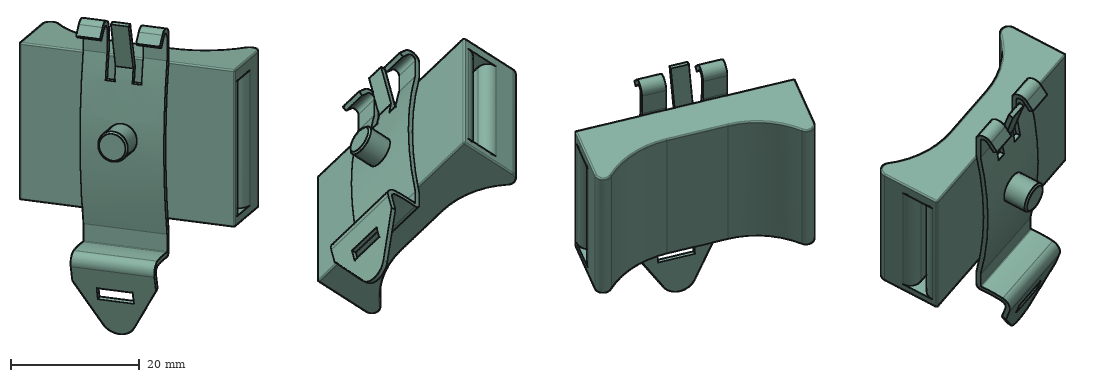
import cadquery as cq
import math


BLOCK_WIDTH = 36.0
BLOCK_DEPTH = 11.25
BLOCK_HEIGHT = 25.9
EDGE_ROUND = 0.25
HORN_RADIUS = 1.4
FLOOR_Y = 6.25
FLOOR_HALF_WIDTH = 5.0
STRAP_NEAR_Y = 2.9
STRAP_GAP = 1.5
STRAP_HEIGHT = 22.25
STRAP_CENTER_Z = -0.3
STRAP_MOUTH_RADIUS = 2.0

PIN_RADIUS = 2.5
PIN_LENGTH = 6.3
PIN_TIP_CHAMFER = 0.3
PIN_FOOT_RADIUS = 0.5

SHEET = 0.8
CLIP_HALF_WIDTH = 7.0
CLIP_BACK_Y = 0.05
CLIP_FRONT_Y = CLIP_BACK_Y - SHEET
BOW_TOP_Z = 13.35
BOW_BOTTOM_Z = -15.2
BOW_RISE = 1.4
HOOK_RADIUS = 1.55
HOOK_TOP_Z = 18.85
HOOK_TURN = math.radians(53)
HOOK_LIP = 1.95
NOTCH_BOTTOM_Z = 9.1
NOTCH_HALF_WIDTH = 3.0
TONGUE_HALF_WIDTH = 1.5
TONGUE_BEND_Z = 11.5
TONGUE_TOP_Z = 19.25
LEAN = math.radians(15)
SHELF_Z = -18.15
CORNER_RADIUS = 0.1
BEND_Y = -4.5
BEND_Z = -20.05
BEND_RADIUS = 1.8
SHELF_END_TILT = math.radians(12)
SHELF_ARC_RISE = 0.1
TAIL_TIP_Z = -31.8
TAIL_STRAIGHT = 2.65
TAIL_TIP_RADIUS = 3.0
TAIL_TIP_HALF_WIDTH = 2.6
TAIL_SLOT_START = 3.5
TAIL_SLOT_LENGTH = 2.05
TAIL_SLOT_WIDTH = 2 * NOTCH_HALF_WIDTH


def polar(center, radius, angle):
    """Point on a circle; the angle runs from +Z toward -Y."""
    return (center[0] - radius * math.sin(angle), center[1] + radius * math.cos(angle))


def make_block():
    """Saddle block with a flared strap slot right through along X."""
    half = BLOCK_WIDTH / 2
    horn_x = half - HORN_RADIUS
    horn_y = BLOCK_DEPTH - HORN_RADIUS
    run = horn_x - FLOOR_HALF_WIDTH
    drop = horn_y - FLOOR_Y
    saddle_radius = (run**2 + drop**2 - HORN_RADIUS**2) / (2 * (drop + HORN_RADIUS))
    center_y = FLOOR_Y + saddle_radius
    end_angle = math.atan2(run, center_y - horn_y)

    def saddle_point(angle):
        return (
            FLOOR_HALF_WIDTH + saddle_radius * math.sin(angle),
            center_y - saddle_radius * math.cos(angle),
        )

    horn_end = saddle_point(end_angle)
    saddle_mid = saddle_point(end_angle / 2)
    horn_top = (horn_x, BLOCK_DEPTH)
    block = (
        cq.Workplane("XY", origin=(0, 0, -BLOCK_HEIGHT / 2))
        .moveTo(-half, 0)
        .lineTo(half, 0)
        .lineTo(half, horn_y)
        .threePointArc(horn_top, horn_end)
        .threePointArc(saddle_mid, (FLOOR_HALF_WIDTH, FLOOR_Y))
        .lineTo(-FLOOR_HALF_WIDTH, FLOOR_Y)
        .threePointArc((-saddle_mid[0], saddle_mid[1]), (-horn_end[0], horn_end[1]))
        .threePointArc((-horn_top[0], horn_top[1]), (-half, horn_y))
        .close()
        .extrude(BLOCK_HEIGHT)
    )
    block = block.edges("|Z and <Y").fillet(EDGE_ROUND)
    block = block.faces("<Z or >Z").edges().fillet(EDGE_ROUND)
    return block.cut(make_strap_slot())


def make_strap_slot():
    """Narrow slot whose two mouths flare out on quarter-round walls."""
    half = BLOCK_WIDTH / 2
    flare = STRAP_MOUTH_RADIUS
    near = STRAP_NEAR_Y
    far = STRAP_NEAR_Y + STRAP_GAP
    inset = flare * (1 - math.sqrt(0.5))
    return (
        cq.Workplane("XY", origin=(0, 0, STRAP_CENTER_Z - STRAP_HEIGHT / 2))
        .moveTo(-half, near - flare)
        .threePointArc((-half + inset, near - inset), (-half + flare, near))
        .lineTo(half - flare, near)
        .threePointArc((half - inset, near - inset), (half, near - flare))
        .lineTo(half, far + flare)
        .threePointArc((half - inset, far + inset), (half - flare, far))
        .lineTo(-half + flare, far)
        .threePointArc((-half + inset, far + inset), (-half, far + flare))
        .close()
        .extrude(STRAP_HEIGHT)
    )


def make_pin():
    """Round pin standing on the block, flared at its foot and chamfered at its tip."""
    foot = PIN_FOOT_RADIUS
    inset = foot * (1 - math.sqrt(0.5))
    return (
        cq.Workplane("XY")
        .moveTo(0, 0)
        .lineTo(-PIN_RADIUS - foot, 0)
        .threePointArc((-PIN_RADIUS - inset, -inset), (-PIN_RADIUS, -foot))
        .lineTo(-PIN_RADIUS, PIN_TIP_CHAMFER - PIN_LENGTH)
        .lineTo(PIN_TIP_CHAMFER - PIN_RADIUS, -PIN_LENGTH)
        .lineTo(0, -PIN_LENGTH)
        .close()
        .revolve(360, (0, 0, 0), (0, 1, 0))
    )


def extrude_across(profile, half_width):
    """Extrude a YZ profile equally to both sides of X = 0."""
    return profile.close().extrude(half_width, both=True)


def make_clip_strip():
    """Bent strip from the hook lip down to the start of the tail."""
    hook = (CLIP_BACK_Y - HOOK_RADIUS, HOOK_TOP_Z - HOOK_RADIUS)
    hook_inner = HOOK_RADIUS - SHEET
    lip_y = -HOOK_LIP * math.cos(HOOK_TURN)
    lip_z = -HOOK_LIP * math.sin(HOOK_TURN)
    lip_outer = polar(hook, HOOK_RADIUS, HOOK_TURN)
    lip_inner = polar(hook, hook_inner, HOOK_TURN)

    bow_mid_z = (BOW_TOP_Z + BOW_BOTTOM_Z) / 2

    bend = (BEND_Y, BEND_Z)
    bend_inner = BEND_RADIUS - SHEET
    tail_angle = math.pi / 2 + LEAN
    bend_mid_angle = (SHELF_END_TILT + tail_angle) / 2
    shelf_end = polar(bend, BEND_RADIUS, SHELF_END_TILT)
    shelf_under = polar(bend, bend_inner, SHELF_END_TILT)
    shelf_start = (CLIP_FRONT_Y - CORNER_RADIUS, SHELF_Z)
    shelf_mid = (
        (shelf_start[0] + shelf_end[0]) / 2,
        (shelf_start[1] + shelf_end[1]) / 2 + SHELF_ARC_RISE,
    )
    back_radius = CORNER_RADIUS + SHEET
    corner = (shelf_start[0], SHELF_Z + CORNER_RADIUS)
    under_start = (corner[0], SHELF_Z - SHEET)

    profile = (
        cq.Workplane("YZ")
        .moveTo(lip_inner[0] + lip_y, lip_inner[1] + lip_z)
        .lineTo(*lip_inner)
        .threePointArc(polar(hook, hook_inner, -math.pi / 8), (CLIP_FRONT_Y, hook[1]))
        .lineTo(CLIP_FRONT_Y, BOW_TOP_Z)
        .threePointArc((CLIP_FRONT_Y - BOW_RISE, bow_mid_z), (CLIP_FRONT_Y, BOW_BOTTOM_Z))
        .lineTo(CLIP_FRONT_Y, corner[1])
        .threePointArc(polar(corner, CORNER_RADIUS, -3 * math.pi / 4), shelf_start)
        .threePointArc(shelf_mid, shelf_end)
        .threePointArc(polar(bend, BEND_RADIUS, bend_mid_angle), polar(bend, BEND_RADIUS, tail_angle))
        .lineTo(*polar(bend, bend_inner, tail_angle))
        .threePointArc(polar(bend, bend_inner, bend_mid_angle), shelf_under)
        .threePointArc((shelf_mid[0], shelf_mid[1] - SHEET), under_start)
        .threePointArc(polar(corner, back_radius, -3 * math.pi / 4), (CLIP_BACK_Y, corner[1]))
        .lineTo(CLIP_BACK_Y, BOW_BOTTOM_Z)
        .threePointArc((CLIP_BACK_Y - BOW_RISE, bow_mid_z), (CLIP_BACK_Y, BOW_TOP_Z))
        .lineTo(CLIP_BACK_Y, hook[1])
        .threePointArc(polar(hook, HOOK_RADIUS, -math.pi / 8), lip_outer)
        .lineTo(lip_outer[0] + lip_y, lip_outer[1] + lip_z)
    )
    return extrude_across(profile, CLIP_HALF_WIDTH)


def box_from(half_width, bottom_z, top_z):
    """Box centred on X = 0, deep enough in Y to pass through the whole clip."""
    through_depth = 4 * PIN_LENGTH
    return (
        cq.Workplane("XY", origin=(0, 0, bottom_z))
        .rect(2 * half_width, through_depth)
        .extrude(top_z - bottom_z)
    )


def make_notches():
    """Space between the two hooks, leaving the root of the tongue standing."""
    opening = box_from(NOTCH_HALF_WIDTH, NOTCH_BOTTOM_Z, TONGUE_TOP_Z)
    tongue_root = box_from(TONGUE_HALF_WIDTH, NOTCH_BOTTOM_Z, TONGUE_BEND_Z)
    return opening.cut(tongue_root)


def make_tongue():
    """Flat tongue that leans outward from the bow between the hooks."""
    half_chord = (BOW_TOP_Z - BOW_BOTTOM_Z) / 2
    bow_radius = (half_chord**2 + BOW_RISE**2) / (2 * BOW_RISE)
    height = TONGUE_BEND_Z - (BOW_TOP_Z + BOW_BOTTOM_Z) / 2
    front_y = CLIP_FRONT_Y - BOW_RISE + bow_radius - math.sqrt(bow_radius**2 - height**2)
    rise = TONGUE_TOP_Z - TONGUE_BEND_Z
    back_y = front_y + SHEET / math.cos(LEAN)
    back_top = (back_y - rise * math.tan(LEAN), TONGUE_TOP_Z)
    front_top = (back_top[0] - SHEET * math.cos(LEAN), TONGUE_TOP_Z - SHEET * math.sin(LEAN))
    profile = (
        cq.Workplane("YZ")
        .moveTo(front_y, TONGUE_BEND_Z)
        .lineTo(*front_top)
        .lineTo(*back_top)
        .lineTo(back_y, TONGUE_BEND_Z)
    )
    return extrude_across(profile, TONGUE_HALF_WIDTH)


def make_tail():
    """Flat tapered tail with a round tip and a cross slot."""
    start = polar((BEND_Y, BEND_Z), BEND_RADIUS, math.pi / 2 + LEAN)
    length = (start[1] - TAIL_TIP_Z) / math.cos(LEAN)
    tip_center = length - TAIL_TIP_RADIUS
    taper_end = tip_center + math.sqrt(TAIL_TIP_RADIUS**2 - TAIL_TIP_HALF_WIDTH**2)
    front = cq.Plane(
        origin=(0, start[0], start[1]),
        xDir=(1, 0, 0),
        normal=(0, -math.cos(LEAN), -math.sin(LEAN)),
    )
    plate = (
        cq.Workplane(front)
        .moveTo(-CLIP_HALF_WIDTH, 0)
        .lineTo(-CLIP_HALF_WIDTH, -TAIL_STRAIGHT)
        .lineTo(-TAIL_TIP_HALF_WIDTH, -taper_end)
        .threePointArc((0, -length), (TAIL_TIP_HALF_WIDTH, -taper_end))
        .lineTo(CLIP_HALF_WIDTH, -TAIL_STRAIGHT)
        .lineTo(CLIP_HALF_WIDTH, 0)
        .close()
        .extrude(-SHEET)
    )
    slot = (
        cq.Workplane(front)
        .center(0, -TAIL_SLOT_START - TAIL_SLOT_LENGTH / 2)
        .rect(TAIL_SLOT_WIDTH, TAIL_SLOT_LENGTH)
        .extrude(-SHEET)
    )
    return plate.cut(slot)


def make_clip():
    """Spring clip: hooks, tongue, bowed strip and tail in one bent sheet."""
    clip = make_clip_strip().cut(make_notches())
    clip = clip.union(make_tongue()).union(make_tail())
    pin_hole = cq.Workplane("XZ").circle(PIN_RADIUS).extrude(PIN_LENGTH)
    return clip.cut(pin_hole)


block = make_block()
pin = make_pin()
clip = make_clip()

result = cq.Compound.makeCompound([block.val(), pin.val(), clip.val()])